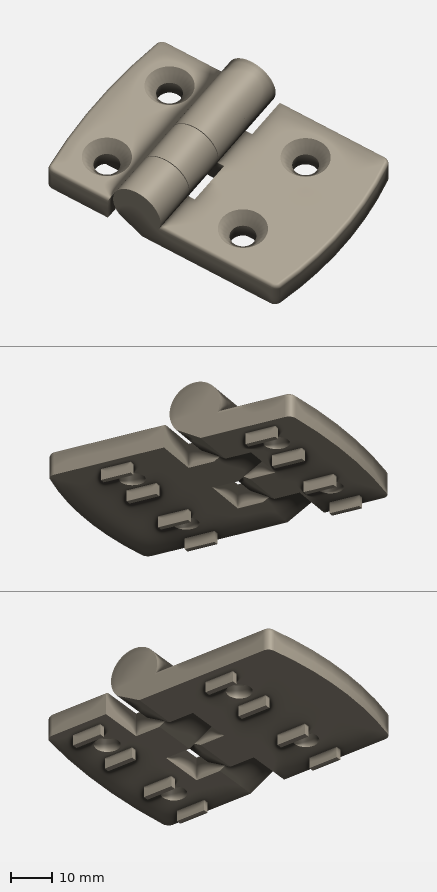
import cadquery as cq
import math

hinge_length = 72.2
hinge_width = 49.6
hinge_height = 18.4
joint_gap = 0.2
leaf_width = hinge_width - joint_gap
leaf_shift = joint_gap / 2

contact_joint_y = 12.2
open_joint_y = -12.4
left_knuckle_spans = [
    (contact_joint_y, hinge_width / 2),
    (open_joint_y + joint_gap / 2, -joint_gap / 2),
]
right_knuckle_spans = [
    (joint_gap / 2, contact_joint_y),
    (-hinge_width / 2, open_joint_y - joint_gap / 2),
]

leaf_thickness = 6.5
left_reach = 28.6
right_reach = hinge_length - left_reach
left_bulge = 2.0
right_bulge = 3.1
corner_radius = 2.0
top_edge_radius = 1.0
notch_reach = 8.6

pin_height = 8.5
knuckle_radius = 6.9
lug_start = -knuckle_radius / 2
pin_radius = 3.25
relief_half_width = 1.6
relief_angle = math.radians(30)

left_hole_x = 16.45
right_hole_x = 23.4
hole_spacing = 27.0
hole_diameter = 6.5
sink_diameter = 12.1
sink_angle = 90

foot_length = 8.2
foot_width = 1.45
foot_height = hinge_height - pin_height - knuckle_radius
outer_foot_y = 21.1
near_inner_foot_y = 7.7
far_inner_foot_y = 8.15


def box_between(x_start, x_end, y_start, y_end, z_start, z_end):
    """Axis-aligned box between two opposite corners."""
    size = (x_end - x_start, y_end - y_start, z_end - z_start)
    return cq.Workplane("XY").box(*size, centered=False).translate((x_start, y_start, z_start))


def leaf_plate(reach, bulge):
    """Plate running toward +X from inside the barrel, with a curved outer edge and rounded upper rim."""
    half_width = leaf_width / 2
    plate = (
        cq.Workplane("XY")
        .moveTo(lug_start, -half_width)
        .lineTo(reach - bulge, -half_width)
        .threePointArc((reach, 0), (reach - bulge, half_width))
        .lineTo(lug_start, half_width)
        .close()
        .extrude(leaf_thickness)
        .edges("|Z and (not <X)").fillet(corner_radius)
    )
    return plate.faces(">Z").edges("not <X").fillet(top_edge_radius)


def knuckle(y_start, y_end):
    """Round barrel section around the pin axis."""
    return (
        cq.Workplane("XZ", origin=(0, y_end, 0))
        .center(0, pin_height)
        .circle(knuckle_radius)
        .extrude(y_end - y_start)
    )


def underside_relief():
    """Wedge below the slope that descends from the barrel to the leaf underside."""
    slope_run = 2 * knuckle_radius
    slope_rise = slope_run * math.tan(relief_angle)
    return (
        cq.Workplane("XZ", origin=(0, hinge_width, 0))
        .moveTo(relief_half_width, 0)
        .lineTo(relief_half_width - slope_run, slope_rise)
        .lineTo(relief_half_width - slope_run, 0)
        .close()
        .extrude(2 * hinge_width)
    )


def hinge_pin():
    """Plain pin, flush with both ends of the barrel."""
    return (
        cq.Workplane("XZ", origin=(0, hinge_width / 2, pin_height))
        .circle(pin_radius)
        .extrude(hinge_width)
    )


def hinge_leaf(reach, bulge, hole_x, knuckle_spans):
    """Leaf on the +X side of the pin, with its end knuckle at -Y."""
    plate = leaf_plate(reach, bulge).translate((0, -leaf_shift, 0))
    leaf = plate.intersect(box_between(notch_reach, reach, -hinge_width, hinge_width, 0, leaf_thickness))
    for y_start, y_end in knuckle_spans:
        lug = plate.intersect(box_between(lug_start, notch_reach, y_start, y_end, 0, leaf_thickness))
        leaf = leaf.union(lug).union(knuckle(y_start, y_end))
    leaf = leaf.cut(underside_relief())

    leaf = leaf.cut(hinge_pin())

    leaf = (
        leaf.copyWorkplane(cq.Workplane("XY", origin=(hole_x, -leaf_shift, leaf_thickness)))
        .rarray(0.7, hole_spacing, 1, 2)
        .cskHole(hole_diameter, sink_diameter, sink_angle, leaf_thickness)
    )

    for foot_y in (-outer_foot_y, -near_inner_foot_y, far_inner_foot_y, outer_foot_y):
        foot = box_between(
            hole_x - foot_length / 2, hole_x + foot_length / 2,
            foot_y - foot_width / 2, foot_y + foot_width / 2,
            -foot_height, 0,
        )
        leaf = leaf.union(foot)
    return leaf


turned_left_spans = [(-y_end, -y_start) for y_start, y_end in left_knuckle_spans]

left_leaf = hinge_leaf(left_reach, left_bulge, left_hole_x, turned_left_spans)
left_leaf = left_leaf.rotate((0, 0, 0), (0, 0, 1), 180)
right_leaf = hinge_leaf(right_reach, right_bulge, right_hole_x, right_knuckle_spans)
pin = hinge_pin()

result = cq.Compound.makeCompound([left_leaf.solids().val(), right_leaf.solids().val(), pin.val()])